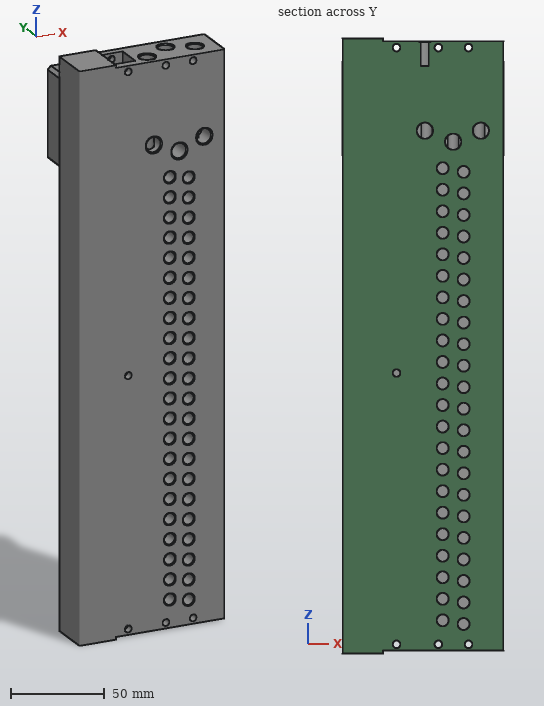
import cadquery as cq


body_width = 86.0
body_depth = 25.3
body_height = 328
edge_fillet = 0.5
strip_width = 21.5
end_step = 1.5

duct_width = 13.8
duct_front = 5.2
duct_back = 20.5

port_dia = 8.5
port_chamfer = 0.5
top_port_depth = 13
channel_dia = 6.0
ports = [
    (44.0, 8.2, 45.0, 8.2, 278.8),
    (59, 17.0, 59, 17.0, 273.0),
    (73.8, 11.5, 72.8, 11.8, 278.8),
]

outlet_count = 22
outlet_pitch = 11.5
outlet_dia = 6.2
outlet_chamfer = 0.5
outlet_depth = 10
outlet_columns = [(53.5, 258.8), (64.5, 256.8)]

mount_dia = 4.0
mount_xs = (29.0, 51.2, 67.2)
mount_end_distance = 5.0
duct_hole_height = 149.5

box_depth = 14.0
box_top = 317.5
box_height = 53.8
box_chamfer = 2.0

connector_x = 25.5
connector_z = 287.3
plate_width = 16.5
plate_height = 34.8
plate_thickness = 1.0
washer_dia = 16.5
washer_thickness = 1.0
hex_flats = 13
hex_thickness = 3.0
plug_dia = 12.5
plug_chamfer = 1.0
overall_depth = 53.5


def block(x, y, z, width, depth, height):
    """Box with its lowest corner at (x, y, z)."""
    return cq.Workplane("XY").box(width, depth, height, centered=False).translate((x, y, z))


def plane_facing_back(y):
    """Workplane at depth y, drawn in (x, z) with the solid growing toward +Y."""
    return cq.Workplane(cq.Plane((0, y, 0), xDir=(1, 0, 0), normal=(0, 1, 0)))


def plane_into_front(x, z):
    """Plane on the hole face, pointing into the body."""
    return cq.Plane((x, 0, z), xDir=(1, 0, 0), normal=(0, 1, 0))


def hole_from_front(x, z, dia, depth):
    return cq.Workplane(plane_into_front(x, z)).circle(dia / 2).extrude(depth)


def chamfered_bore(plane, dia, depth, chamfer):
    """Cutter for a bore, widened by a chamfer at its mouth on the given plane."""
    bore = cq.Workplane(plane).circle(dia / 2).extrude(depth)
    mouth = cq.Workplane(plane).circle(dia / 2 + chamfer).extrude(chamfer, taper=45)
    return bore.union(mouth)


def make_body():
    strip = block(0, 0, 0, strip_width, body_depth, body_height)
    main = block(0, 0, end_step, body_width, body_depth, body_height - 2 * end_step)
    duct = block(strip_width, duct_front, 0, duct_width, duct_back - duct_front, body_height)
    shell = strip.union(main).edges("|Z and (<X or >X)").fillet(edge_fillet)
    return shell.cut(duct)


def cut_ports(body):
    top = body_height - end_step
    for port_x, port_y, channel_x, channel_y, front_z in ports:
        top_plane = cq.Plane((port_x, port_y, top), xDir=(1, 0, 0), normal=(0, 0, -1))
        front_plane = plane_into_front(port_x, front_z)
        channel = cq.Workplane("XY").center(channel_x, channel_y)
        channel = channel.circle(channel_dia / 2).extrude(body_height)
        body = body.cut(chamfered_bore(top_plane, port_dia, top_port_depth, port_chamfer))
        body = body.cut(chamfered_bore(front_plane, port_dia, channel_y, port_chamfer))
        body = body.cut(channel)
    return body


def cut_outlets(body):
    for x, top_z in outlet_columns:
        for row in range(outlet_count):
            plane = plane_into_front(x, top_z - row * outlet_pitch)
            body = body.cut(chamfered_bore(plane, outlet_dia, outlet_depth, outlet_chamfer))
    return body


def cut_mounting_holes(body):
    for z in (mount_end_distance, body_height - mount_end_distance):
        for x in mount_xs:
            body = body.cut(hole_from_front(x, z, mount_dia, body_depth))
    return body.cut(hole_from_front(mount_xs[0], duct_hole_height, mount_dia, duct_front))


def make_connection_box():
    box = block(0, body_depth, box_top - box_height, body_width, box_depth, box_height)
    return box.edges("|Y").chamfer(box_chamfer)


def make_connector():
    plate_y = body_depth + box_depth
    washer_y = plate_y + plate_thickness
    hex_y = washer_y + washer_thickness
    plug_y = hex_y + hex_thickness
    plate_bottom = box_top - box_height / 2 - plate_height / 2
    plate = block(connector_x - plate_width / 2, plate_y, plate_bottom,
                  plate_width, plate_thickness, plate_height)
    washer = plane_facing_back(washer_y).center(connector_x, -connector_z)
    washer = washer.circle(washer_dia / 2).extrude(washer_thickness)
    hexagon = plane_facing_back(hex_y).center(connector_x, -connector_z)
    hexagon = hexagon.polygon(6, hex_flats, circumscribed=True).extrude(hex_thickness)
    plug = plane_facing_back(plug_y).center(connector_x, -connector_z)
    plug = plug.circle(plug_dia / 2).extrude(overall_depth - plug_y)
    plug = plug.faces(">Y").chamfer(plug_chamfer)
    return plate.union(washer).union(hexagon).union(plug)


body = cut_mounting_holes(cut_outlets(cut_ports(make_body())))
result = body.union(make_connection_box()).union(make_connector())